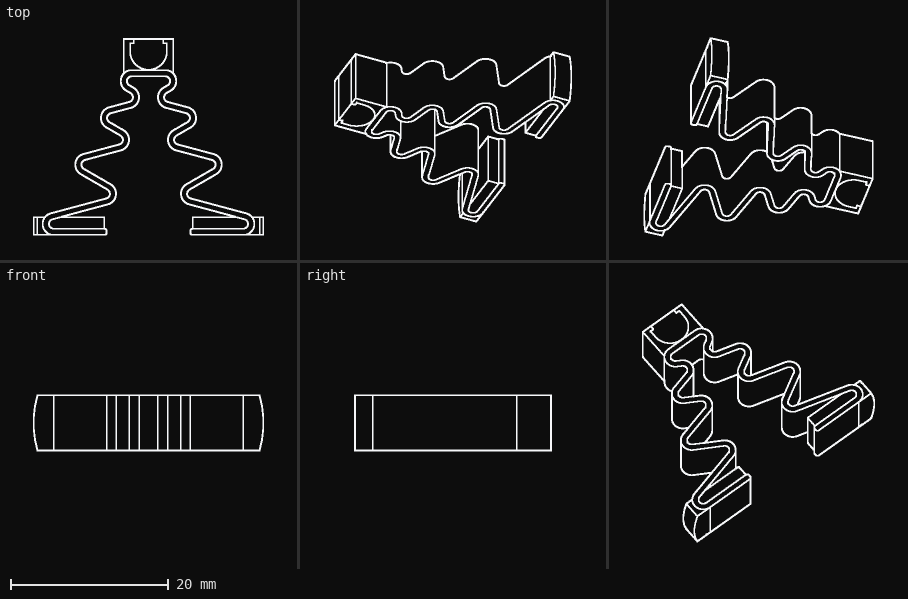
import cadquery as cq
import math

HEIGHT = 7.0
MID_Z = HEIGHT / 2

STRIP = 0.8
BEND_RADIUS = 1.0
TIP_FILLET = 0.28
FLAT_LENGTH = 6.7
SHALLOW_SLOPE = 15.0
STEEP_SLOPE = 30.0
SHALLOW_LENGTHS = (7.26, 4.7, 2.65)
STEEP_LENGTHS = (3.9, 2.05, 0.62)

FOOT_OUTER_X = 14.55
FOOT_INNER_X = 5.57
FOOT_DEPTH = 2.27
FOOT_BOW = 0.5
TIE_DIAMETER = 1.0

TIP_X = FOOT_INNER_X - TIP_FILLET

TOTAL_DEPTH = 24.81
BLOCK_WIDTH = 6.3
BLOCK_DEPTH = 4.35
CORE_RADIUS = 2.33
CORE_DEPTH = 3.92
NECK_WIDTH = 3.72
NECK_DEPTH = 0.54


def add_bend(path, position, heading, turn):
    """Add an arc turning left (positive) or right (negative) and return its end and new heading."""
    side = math.copysign(90, turn)
    to_center = math.radians(heading + side)
    center = (
        position[0] + BEND_RADIUS * math.cos(to_center),
        position[1] + BEND_RADIUS * math.sin(to_center),
    )

    def point_after(angle):
        from_center = math.radians(heading - side + angle)
        return (
            center[0] + BEND_RADIUS * math.cos(from_center),
            center[1] + BEND_RADIUS * math.sin(from_center),
        )

    end = point_after(turn)
    return path.threePointArc(point_after(turn / 2), end), end, heading + turn


def add_straight(path, position, heading, length):
    """Add a straight along the heading and return its end."""
    angle = math.radians(heading)
    end = (position[0] + length * math.cos(angle), position[1] + length * math.sin(angle))
    return path.lineTo(*end), end


def make_leg():
    """Left half of the spring, from its free tip in the foot to the middle plane."""
    position = (-TIP_X, STRIP / 2)
    heading = 180.0
    path = cq.Workplane("XY", origin=(0, 0, MID_Z)).moveTo(*position)
    path, position = add_straight(path, position, heading, FLAT_LENGTH)
    for shallow, steep in zip(SHALLOW_LENGTHS, STEEP_LENGTHS):
        path, position, heading = add_bend(path, position, heading, SHALLOW_SLOPE - heading)
        path, position = add_straight(path, position, heading, shallow)
        path, position, heading = add_bend(path, position, heading, 180 - STEEP_SLOPE - heading)
        path, position = add_straight(path, position, heading, steep)
    path, position, heading = add_bend(path, position, heading, -heading)
    path = path.lineTo(0, position[1])

    section = cq.Workplane("YZ", origin=(-TIP_X, STRIP / 2, MID_Z)).rect(STRIP, HEIGHT)
    leg = section.sweep(path)
    tip_edges = cq.selectors.BoxSelector(
        (-TIP_X - STRIP / 2, -STRIP, 0), (-TIP_X + STRIP / 2, 2 * STRIP, HEIGHT)
    )
    return leg.edges("|Z").edges(tip_edges).fillet(TIP_FILLET)


def make_tie_hole():
    """Round bar through the lowest bend of the left leg, along X."""
    bend_x = -TIP_X - FLAT_LENGTH
    bend_y = STRIP / 2 + BEND_RADIUS
    return (
        cq.Workplane("YZ", origin=(bend_x, bend_y, MID_Z))
        .circle(TIE_DIAMETER / 2)
        .extrude(-BEND_RADIUS - STRIP)
    )


def make_spring():
    """Both legs joined in the middle plane, each with its lowest bend pierced for the foot tie."""
    leg = make_leg().cut(make_tie_hole())
    return leg.union(leg.mirror("YZ"))


def make_left_foot(spring):
    """Pad with a bowed outer end, hollowed where the spring lies in it."""
    bow_start_x = FOOT_BOW - FOOT_OUTER_X
    pad = (
        cq.Workplane("XZ")
        .moveTo(-FOOT_INNER_X, 0)
        .lineTo(bow_start_x, 0)
        .threePointArc((-FOOT_OUTER_X, MID_Z), (bow_start_x, HEIGHT))
        .lineTo(-FOOT_INNER_X, HEIGHT)
        .close()
        .extrude(-FOOT_DEPTH)
    )
    return pad.cut(spring)


def make_core():
    """Round-nosed bar with a narrower neck that reaches the back of the block."""
    shoulder_y = TOTAL_DEPTH - NECK_DEPTH
    nose_y = TOTAL_DEPTH - CORE_DEPTH
    nose_center_y = nose_y + CORE_RADIUS
    return (
        cq.Workplane("XY")
        .moveTo(-NECK_WIDTH / 2, TOTAL_DEPTH)
        .lineTo(-NECK_WIDTH / 2, shoulder_y)
        .lineTo(-CORE_RADIUS, shoulder_y)
        .lineTo(-CORE_RADIUS, nose_center_y)
        .threePointArc((0, nose_y), (CORE_RADIUS, nose_center_y))
        .lineTo(CORE_RADIUS, shoulder_y)
        .lineTo(NECK_WIDTH / 2, shoulder_y)
        .lineTo(NECK_WIDTH / 2, TOTAL_DEPTH)
        .close()
        .extrude(HEIGHT)
    )


def make_block(core, spring):
    """Head block with a slot for the core and a seat for the spring in its front face."""
    block = cq.Workplane("XY").box(BLOCK_WIDTH, BLOCK_DEPTH, HEIGHT, centered=(True, False, False))
    return block.translate((0, TOTAL_DEPTH - BLOCK_DEPTH, 0)).cut(core).cut(spring)


spring = make_spring()
core = make_core()
block = make_block(core, spring)
left_foot = make_left_foot(spring)
feet = [left_foot, left_foot.mirror("YZ")]

bodies = [spring, core, block, *feet]
result = cq.Compound.makeCompound([body.solids().val() for body in bodies])